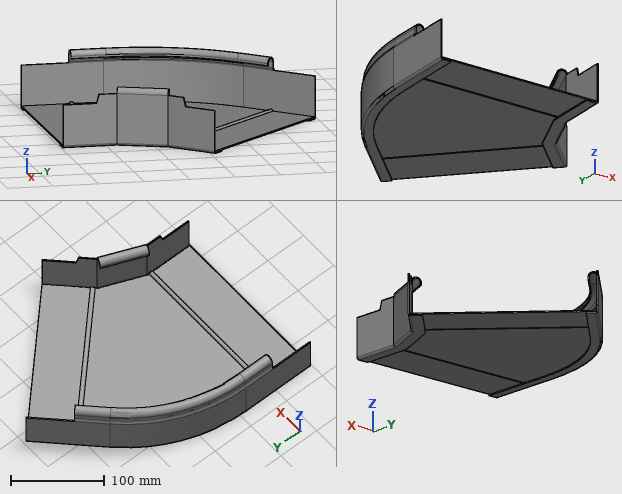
import cadquery as cq
import math


length_y = 295.5
bend_angle = 45.0
outer_arm = 90.5
inner_arm = 58.8
width = 203.7
sin_bend = math.sin(math.radians(bend_angle))
cos_bend = math.cos(math.radians(bend_angle))
outer_radius = (length_y - outer_arm * (1 + cos_bend)) / sin_bend

sheet = 1.5
bend_inner = 1.2
bend_outer = bend_inner + sheet

total_height = 63.0
arm_height = 47.3
hook_radius = 6.0
hook_lip = 2.7
hook_base = total_height - hook_radius

outer_flange = 13.0
joggle_offset = 1.8
joggle_inner = 1.5
joggle_outer = joggle_inner + sheet
rail_start = 52.0

inner_flange = 15.5
tab_top_start = 39.3
tab_foot_start = 36.7

floor_gap = bend_outer
floor_bottom = sheet
floor_top = floor_bottom + sheet
bead_center = 54.7
bead_half_width = 2.7
bead_height = 1.92

arc_center = (outer_radius, outer_arm)
half_bend = math.radians(bend_angle / 2)
bisector_normal = (math.sin(half_bend), math.cos(half_bend), 0)


def mirror_end(shape):
    """Copy of a feature of the front end, moved to the angled end."""
    return shape.mirror(bisector_normal, (arc_center[0], arc_center[1], 0))


def mirror_point(x, y):
    """Plan point of the front end, moved to the angled end."""
    nx, ny, _ = bisector_normal
    distance = (x - arc_center[0]) * nx + (y - arc_center[1]) * ny
    return (x - 2 * distance * nx, y - 2 * distance * ny)


def on_circle(center, radius, degrees):
    """Point of a circle at an angle from its first axis."""
    angle = math.radians(degrees)
    return (center[0] + radius * math.cos(angle), center[1] + radius * math.sin(angle))


def arc_to(outline, center, radius, start, end):
    """Continue an outline with an arc between two angles of a circle."""
    return outline.threePointArc(
        on_circle(center, radius, (start + end) / 2), on_circle(center, radius, end)
    )


def curved_path(inset, start):
    """Line, arc and line along the outer wall, offset inward, from a distance to the tray end."""
    arc_mid = on_circle(arc_center, outer_radius - inset, 180 - bend_angle / 2)
    return (
        cq.Workplane("XY")
        .moveTo(inset, start)
        .lineTo(inset, outer_arm)
        .threePointArc(arc_mid, mirror_point(inset, outer_arm))
        .lineTo(*mirror_point(inset, start))
    )



def flanged_profile(plane, flange, height):
    """Vertical sheet with a rounded bend into a bottom flange."""
    center = (bend_outer, bend_outer)
    outline = cq.Workplane(plane).moveTo(flange, 0).lineTo(bend_outer, 0)
    outline = arc_to(outline, center, bend_outer, 270, 180)
    outline = outline.lineTo(0, height).lineTo(sheet, height).lineTo(sheet, bend_outer)
    outline = arc_to(outline, center, bend_inner, 180, 270)
    return outline.lineTo(flange, sheet).close()


def add_hook(outline, face):
    """Rolled top edge, drawn from the outer face over to the inner face of the sheet."""
    center = (face + hook_radius, hook_base)
    tip = face + 2 * hook_radius
    outline = outline.lineTo(face, hook_base)
    outline = arc_to(outline, center, hook_radius, 180, 0)
    outline = outline.lineTo(tip, hook_base - hook_lip).lineTo(tip - sheet, hook_base - hook_lip)
    outline = outline.lineTo(tip - sheet, hook_base)
    return arc_to(outline, center, hook_radius - sheet, 0, 180)


def rail_profile(plane):
    """S-shaped inward joggle on top of the wall, carrying the rolled edge."""
    tilt = math.degrees(math.acos(1 - joggle_offset / (joggle_outer + joggle_inner)))
    rise = (joggle_outer + joggle_inner) * math.sin(math.radians(tilt))
    lower = (joggle_outer, arm_height)
    upper = (joggle_offset - joggle_inner, arm_height + rise)
    outline = cq.Workplane(plane).moveTo(0, arm_height)
    outline = arc_to(outline, lower, joggle_outer, 180, 180 - tilt)
    outline = arc_to(outline, upper, joggle_inner, -tilt, 0)
    outline = add_hook(outline, joggle_offset)
    outline = outline.lineTo(joggle_offset + sheet, arm_height + rise)
    outline = arc_to(outline, upper, joggle_outer, 0, -tilt)
    outline = arc_to(outline, lower, joggle_inner, 180 - tilt, 180)
    return outline.close()


def make_outer_wall():
    """Curved wall with a bottom flange and a rolled rail on its middle stretch."""
    wall = flanged_profile("XZ", outer_flange, arm_height).sweep(curved_path(0, 0))
    rail_plane = cq.Plane((0, rail_start, 0), (1, 0, 0), (0, -1, 0))
    rail = rail_profile(rail_plane).sweep(curved_path(0, rail_start))
    return wall.union(rail).solids()


def make_inner_wall():
    """Three-sided wall with a bottom flange and a rolled edge on the middle side."""
    corner = (width, inner_arm)
    far_corner = mirror_point(*corner)
    path = cq.Workplane("XY").polyline([(width, 0), corner, far_corner, mirror_point(width, 0)])
    front_plane = cq.Plane((width, 0, 0), (-1, 0, 0), (0, 1, 0))
    wall = flanged_profile(front_plane, inner_flange, hook_base).sweep(path, transition="right")

    end_notch = (
        cq.Workplane("YZ", origin=(width - sheet, 0, 0))
        .polyline([
            (0, arm_height),
            (tab_foot_start, arm_height),
            (tab_top_start, hook_base),
            (0, hook_base),
        ])
        .close()
        .extrude(sheet)
    )
    wall = wall.cut(end_notch).cut(mirror_end(end_notch))

    along = (far_corner[0] - corner[0], far_corner[1] - corner[1], 0)
    inward = (-along[1], along[0], 0)
    hook_plane = cq.Plane((corner[0], corner[1], 0), inward, along)
    hook = cq.Workplane(hook_plane).moveTo(sheet, hook_base - hook_lip).lineTo(0, hook_base - hook_lip)
    hook = add_hook(hook, 0).close().extrude(math.hypot(*along))
    return wall.union(hook).solids()


def floor_prism(height):
    """Prism over the floor outline, standing on the flanges."""
    inner_x = width - floor_gap
    corner_y = inner_arm + floor_gap * math.tan(half_bend / 2)
    return (
        curved_path(floor_gap, 0)
        .lineTo(*mirror_point(inner_x, 0))
        .lineTo(*mirror_point(inner_x, corner_y))
        .lineTo(inner_x, corner_y)
        .lineTo(inner_x, 0)
        .close()
        .extrude(height)
        .translate((0, 0, floor_bottom))
    )


def make_floor():
    """Floor plate with a raised bead across each end."""
    bead_radius = (bead_half_width**2 + bead_height**2) / (2 * bead_height)
    axis_height = floor_top + bead_height - bead_radius
    axis_plane = cq.Workplane("YZ").center(bead_center, axis_height)
    bead = axis_plane.circle(bead_radius).extrude(width)
    groove = axis_plane.circle(bead_radius - sheet).extrude(width)
    beads = bead.union(mirror_end(bead)).intersect(floor_prism(sheet + bead_height))
    return floor_prism(sheet).union(beads).cut(groove).cut(mirror_end(groove)).solids()


outer_wall = make_outer_wall()
inner_wall = make_inner_wall()
floor_plate = make_floor()

result = cq.Compound.makeCompound([outer_wall.val(), inner_wall.val(), floor_plate.val()])